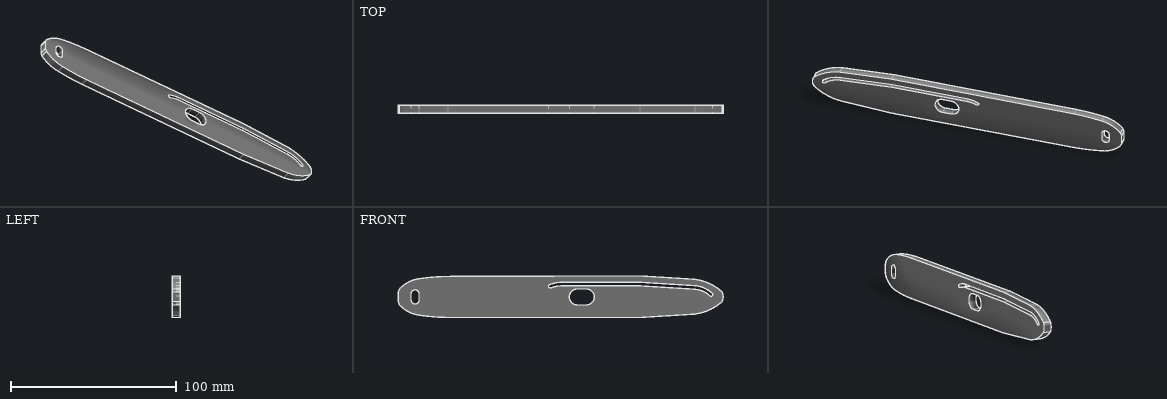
import cadquery as cq
import math

LENGTH = 196.39
HEIGHT = 25.27
THICKNESS = 5.0

BUTT_AXIS_Z = -0.14
BUTT_FLAT_HALF = 2.9
BUTT_CORNER_INSET = 0.7
BUTT_CORNER_HALF = 4.8
BUTT_CURVE_X = -85.6
BUTT_CURVE_HALF = 11.1
BUTT_CURVE_BULGE = 1.2
BODY_START_X = -68.0
BODY_CURVE_BULGE = 0.3

TAPER_START_X = 48.0
NOSE_START_X = 81.0
NOSE_START_HALF = 10.6
NOSE_CURVE_BULGE = 1.35
TIP_START_X = 97.4
TIP_HALF = 3.1

MOUNT_SLOT_X = 12.7
MOUNT_SLOT_LENGTH = 15.0
MOUNT_SLOT_HEIGHT = 9.5
BUTT_SLOT_X = -88.0
BUTT_SLOT_HEIGHT = 8.4
BUTT_SLOT_WIDTH = 4.7
HOLE_AXIS_Z = -0.14

GROOVE_WIDTH = 2.0
GROOVE_INSET = 5.0
GROOVE_START = (-6.4, 6.3)
GROOVE_BODY_X = 0.0
GROOVE_START_BULGE = 0.3
GROOVE_END = (90.8, 1.3)
GROOVE_END_BULGE = 0.9

HALF_LENGTH = LENGTH / 2
HALF_HEIGHT = HEIGHT / 2


def bulge_point(start, end, bulge):
    """Point on an arc midway from start to end, raised to the left of the chord."""
    dx = end[0] - start[0]
    dz = end[1] - start[1]
    chord = math.hypot(dx, dz)
    mid_x = (start[0] + end[0]) / 2
    mid_z = (start[1] + end[1]) / 2
    return (mid_x - bulge * dz / chord, mid_z + bulge * dx / chord)


def mirrored(point, axis_z):
    return (point[0], 2 * axis_z - point[1])


def make_plate():
    butt_flat = (-HALF_LENGTH, BUTT_AXIS_Z + BUTT_FLAT_HALF)
    butt_corner = (-HALF_LENGTH + BUTT_CORNER_INSET, BUTT_AXIS_Z + BUTT_CORNER_HALF)
    butt_curve = (BUTT_CURVE_X, BUTT_AXIS_Z + BUTT_CURVE_HALF)
    body_start = (BODY_START_X, 2 * BUTT_AXIS_Z + HALF_HEIGHT)
    taper_start = (TAPER_START_X, HALF_HEIGHT)
    nose_start = (NOSE_START_X, NOSE_START_HALF)
    tip_start = (TIP_START_X, TIP_HALF)
    butt_mid = bulge_point(butt_corner, butt_curve, BUTT_CURVE_BULGE)
    body_mid = bulge_point(butt_curve, body_start, BODY_CURVE_BULGE)
    nose_mid = bulge_point(nose_start, tip_start, NOSE_CURVE_BULGE)

    def butt_lower(point):
        return mirrored(point, BUTT_AXIS_Z)

    def nose_lower(point):
        return mirrored(point, 0)

    return (
        cq.Workplane("XZ")
        .moveTo(*butt_flat)
        .lineTo(*butt_corner)
        .threePointArc(butt_mid, butt_curve)
        .threePointArc(body_mid, body_start)
        .lineTo(*taper_start)
        .lineTo(*nose_start)
        .threePointArc(nose_mid, tip_start)
        .threePointArc((HALF_LENGTH, 0), nose_lower(tip_start))
        .threePointArc(nose_lower(nose_mid), nose_lower(nose_start))
        .lineTo(*nose_lower(taper_start))
        .lineTo(*butt_lower(body_start))
        .threePointArc(butt_lower(body_mid), butt_lower(butt_curve))
        .threePointArc(butt_lower(butt_mid), butt_lower(butt_corner))
        .lineTo(*butt_lower(butt_flat))
        .close()
        .extrude(THICKNESS / 2, both=True)
    )


def make_oblong(center_x, length, width, angle):
    return (
        cq.Workplane("XZ")
        .center(center_x, HOLE_AXIS_Z)
        .slot2D(length, width, angle)
        .extrude(THICKNESS, both=True)
    )


def make_groove():
    """Round-ended slot of constant width, offset from its centre line."""
    body_z = HALF_HEIGHT - GROOVE_INSET
    body_start = (GROOVE_BODY_X, body_z)
    taper_start = (TAPER_START_X, body_z)
    nose_start = (NOSE_START_X, NOSE_START_HALF - GROOVE_INSET)
    start_mid = bulge_point(GROOVE_START, body_start, GROOVE_START_BULGE)
    end_mid = bulge_point(nose_start, GROOVE_END, GROOVE_END_BULGE)
    center_line = (
        cq.Workplane("XZ")
        .moveTo(*GROOVE_START)
        .threePointArc(start_mid, body_start)
        .lineTo(*taper_start)
        .lineTo(*nose_start)
        .threePointArc(end_mid, GROOVE_END)
    )
    return center_line.offset2D(GROOVE_WIDTH / 2).extrude(THICKNESS, both=True)


result = (
    make_plate()
    .cut(make_oblong(MOUNT_SLOT_X, MOUNT_SLOT_LENGTH, MOUNT_SLOT_HEIGHT, 0))
    .cut(make_oblong(BUTT_SLOT_X, BUTT_SLOT_HEIGHT, BUTT_SLOT_WIDTH, 90))
    .cut(make_groove())
)